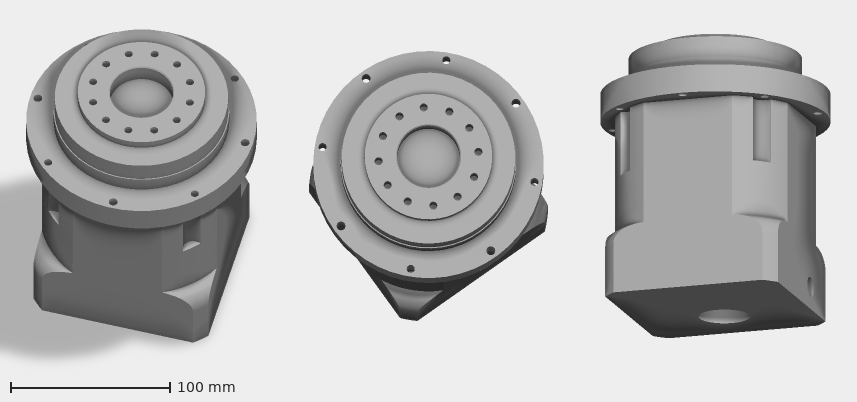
import cadquery as cq
import math

TOTAL_HEIGHT = 168.5
ADAPTER_TOP = 51.9
RING_TOP = 80.7
FLANGE_BOTTOM = 122.0
FLANGE_TOP = 139.7
PILOT_TOP = 149.6
COLLAR_TOP = 163.0

COLUMN_WIDTH = 114.0
COLUMN_ROUND_RADIUS = 64

ADAPTER_FOOT_RADIUS = 75.3
ADAPTER_SHOULDER_TOP = 44.3
SHOULDER_ROUNDING = 12.5
ACCESS_HOLE_DIAMETER = 12.8
ACCESS_HOLE_Y = -17.9
ACCESS_HOLE_Z = 14.3
CLAMP_POCKET_RADIUS = 16.3
CLAMP_POCKET_Y = -18.5
CLAMP_POCKET_TOP = ADAPTER_SHOULDER_TOP - SHOULDER_ROUNDING

FLANGE_DIAMETER = 145.0
PILOT_RADIUS = 55.3
COLLAR_RADIUS = 54.6
FLANGE_HOLE_PITCH = 90
CLEARANCE_HOLE_DIAMETER = 5.5
TAPPED_HOLE_DIAMETER = 5
TAPPED_HOLE_START_ANGLE = 45
FLANGE_HOLE_CIRCLE_RADIUS = 67.5
GROOVE_RADIUS = 6.5
GROOVE_AXIS_OFFSET = 46.2

ROTOR_RADIUS = 40.1
ROTOR_BOTTOM = PILOT_TOP
ROTOR_BORE_RADIUS = 19.9
ROTOR_BORE_DEPTH = 12.0
ROTOR_BORE_CHAMFER = 0.7
THREAD_HOLE_COUNT = 12
THREAD_HOLE_DIAMETER = 5
THREAD_HOLE_CIRCLE_RADIUS = 31.5
THREAD_HOLE_DEPTH = 10.1
DRILL_POINT_ANGLE = 118


def cylinder(radius, bottom, top):
    """Upright cylinder on the main axis."""
    return cq.Workplane("XY").workplane(offset=bottom).circle(radius).extrude(top - bottom)


def square_prism(bottom, top):
    """Square prism with sharp corners, centred on the main axis."""
    height = top - bottom
    return cq.Workplane("XY").workplane(offset=bottom).rect(COLUMN_WIDTH, COLUMN_WIDTH).extrude(height)


def column(bottom, top):
    """Length of the square column with its corners trimmed round."""
    return square_prism(bottom, top).intersect(cylinder(COLUMN_ROUND_RADIUS, bottom, top))


def make_adapter():
    """Motor adapter: wide foot with rounded shoulders, narrowing to the column."""
    foot_envelope = cylinder(ADAPTER_FOOT_RADIUS, 0, ADAPTER_SHOULDER_TOP)
    foot_envelope = foot_envelope.faces(">Z").edges().fillet(SHOULDER_ROUNDING)
    foot = square_prism(0, ADAPTER_SHOULDER_TOP).intersect(foot_envelope)
    body = foot.union(column(0, ADAPTER_TOP))
    clamp_pocket = cylinder(CLAMP_POCKET_RADIUS, 0, CLAMP_POCKET_TOP).translate((0, CLAMP_POCKET_Y, 0))
    access_hole = (
        cq.Workplane("YZ", origin=(-COLUMN_WIDTH / 2, ACCESS_HOLE_Y, ACCESS_HOLE_Z))
        .circle(ACCESS_HOLE_DIAMETER / 2)
        .extrude(COLUMN_WIDTH / 2)
    )
    return body.cut(clamp_pocket).cut(access_hole)


def make_ring():
    """Gear ring: plain length of column between the adapter and the housing."""
    return column(ADAPTER_TOP, RING_TOP)


def make_flange_holes(diameter, start_angle):
    """Cutters for one kind of hole through the flange, evenly spaced on the bolt circle."""
    count = 360 // FLANGE_HOLE_PITCH
    return (
        cq.Workplane("XY")
        .workplane(offset=FLANGE_BOTTOM)
        .polarArray(FLANGE_HOLE_CIRCLE_RADIUS, start_angle, 360, count)
        .circle(diameter / 2)
        .extrude(FLANGE_TOP - FLANGE_BOTTOM)
    )


def make_housing():
    """Housing: grooved column, mounting flange, pilot and collar, with a recess for the rotor."""
    grooves = (
        cq.Workplane("XY")
        .workplane(offset=RING_TOP)
        .rect(2 * GROOVE_AXIS_OFFSET, 2 * GROOVE_AXIS_OFFSET, forConstruction=True)
        .vertices()
        .circle(GROOVE_RADIUS)
        .extrude(FLANGE_BOTTOM - RING_TOP)
    )
    clearance_holes = make_flange_holes(CLEARANCE_HOLE_DIAMETER, 0)
    tapped_holes = make_flange_holes(TAPPED_HOLE_DIAMETER, TAPPED_HOLE_START_ANGLE)
    flange = cylinder(FLANGE_DIAMETER / 2, FLANGE_BOTTOM, FLANGE_TOP)
    flange = flange.cut(clearance_holes).cut(tapped_holes)
    pilot = cylinder(PILOT_RADIUS, FLANGE_TOP, PILOT_TOP)
    collar = cylinder(COLLAR_RADIUS, PILOT_TOP, COLLAR_TOP)
    rotor_recess = cylinder(ROTOR_RADIUS, ROTOR_BOTTOM, COLLAR_TOP)
    body = column(RING_TOP, FLANGE_BOTTOM).cut(grooves)
    return body.union(flange).union(pilot).union(collar).cut(rotor_recess)


def make_thread_hole():
    """Cutter for one blind drilled hole with a conical end, on the +X side of the rotor."""
    radius = THREAD_HOLE_DIAMETER / 2
    point_height = radius / math.tan(math.radians(DRILL_POINT_ANGLE / 2))
    return (
        cq.Workplane("XZ", origin=(THREAD_HOLE_CIRCLE_RADIUS, 0, TOTAL_HEIGHT))
        .polyline([
            (0, 0),
            (radius, 0),
            (radius, -THREAD_HOLE_DEPTH),
            (0, -THREAD_HOLE_DEPTH - point_height),
        ])
        .close()
        .revolve(360, (0, 0), (0, 1))
    )


def make_rotor():
    """Output rotor: disc with a chamfered blind bore and a ring of drilled holes."""
    rotor = cylinder(ROTOR_RADIUS, ROTOR_BOTTOM, TOTAL_HEIGHT)
    rotor = rotor.cut(cylinder(ROTOR_BORE_RADIUS, TOTAL_HEIGHT - ROTOR_BORE_DEPTH, TOTAL_HEIGHT))
    bore_rim = rotor.faces(">Z").edges(cq.selectors.RadiusNthSelector(0))
    rotor = bore_rim.chamfer(ROTOR_BORE_CHAMFER)
    thread_hole = make_thread_hole()
    for index in range(THREAD_HOLE_COUNT):
        angle = index * 360 / THREAD_HOLE_COUNT
        rotor = rotor.cut(thread_hole.rotate((0, 0, 0), (0, 0, 1), angle))
    return rotor


adapter = make_adapter()
ring = make_ring()
housing = make_housing()
rotor = make_rotor()

result = cq.Compound.makeCompound([adapter.val(), ring.val(), housing.val(), rotor.val()])